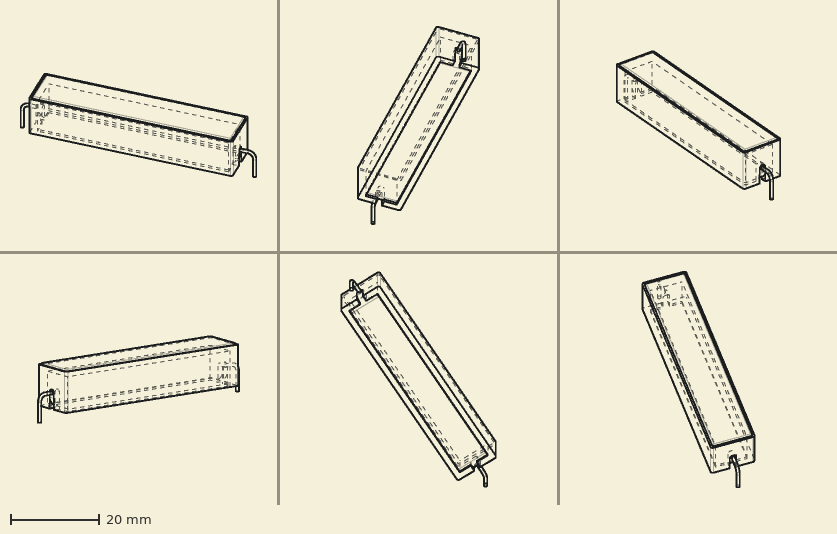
import cadquery as cq
import math

overall_length = 56.7
lead_diameter = 0.8
lead_axis_z = 6.4
bend_radius = 1.6

case_length = 48.95
case_width = 10.5
case_bottom_z = 2.6
case_height = 9.5
case_top_z = case_bottom_z + case_height
case_corner_radius = 0.5
slot_width = 1.6
panel_top_z = 12.5
panel_height = panel_top_z - case_top_z
panel_inset = 0.45
panel_corner_radius = 0.35
wall = 1.5
cavity_length = case_length - 2 * wall
cavity_width = case_width - 2 * wall
cavity_top_z = case_top_z - wall

filling_recess = 0.5
filling_bottom_z = case_bottom_z + filling_recess
filling_end_radius = 2.2


def block(length, width, bottom, top):
    """Upright block centred on the Z axis."""
    return cq.Workplane("XY", origin=(0, 0, bottom)).rect(length, width).extrude(top - bottom)


def slot_bar():
    """Full-length bar with an arched top, as wide and as high as the end slots."""
    half_width = slot_width / 2
    return (
        cq.Workplane("YZ", origin=(-case_length / 2, 0, 0))
        .moveTo(-half_width, case_bottom_z)
        .lineTo(-half_width, lead_axis_z)
        .threePointArc((0, lead_axis_z + half_width), (half_width, lead_axis_z))
        .lineTo(half_width, case_bottom_z)
        .close()
        .extrude(case_length)
    )


def cavity_space():
    """Space inside the case: the open-bottomed cavity together with both end slots."""
    return block(cavity_length, cavity_width, case_bottom_z, cavity_top_z).union(slot_bar())


def make_case():
    shell = block(case_length, case_width, case_bottom_z, case_top_z)
    shell = shell.edges("|Z").fillet(case_corner_radius)
    panel_length = case_length - 2 * panel_inset
    panel_width = case_width - 2 * panel_inset
    panel = block(panel_length, panel_width, cavity_top_z, panel_top_z)
    panel = panel.edges("|Z").fillet(panel_corner_radius)
    panel = panel.faces(">Z").edges().fillet(panel_height)
    return shell.union(panel).cut(cavity_space())


def make_filling():
    envelope = block(case_length, case_width, filling_bottom_z, case_top_z)
    envelope = envelope.faces("<Z").edges("|Y").fillet(filling_end_radius)
    return cavity_space().intersect(envelope)


def make_lead(side):
    """Bent lead on the -X end (side = -1) or the +X end (side = 1)."""
    tip_x = side * (overall_length - lead_diameter) / 2
    bend_center_x = tip_x - side * bend_radius
    bend_center_z = lead_axis_z - bend_radius
    mid_offset = bend_radius * math.sqrt(0.5)
    path = (
        cq.Workplane("XZ")
        .moveTo(tip_x, 0)
        .lineTo(tip_x, bend_center_z)
        .threePointArc(
            (bend_center_x + side * mid_offset, bend_center_z + mid_offset),
            (bend_center_x, lead_axis_z),
        )
        .lineTo(side * case_length / 2, lead_axis_z)
    )
    return cq.Workplane("XY", origin=(tip_x, 0, 0)).circle(lead_diameter / 2).sweep(path)


case = make_case()
filling = make_filling()
leads = [make_lead(side) for side in (-1, 1)]

result = cq.Compound.makeCompound(
    [*case.solids().vals(), *filling.solids().vals(), *[lead.val() for lead in leads]]
)